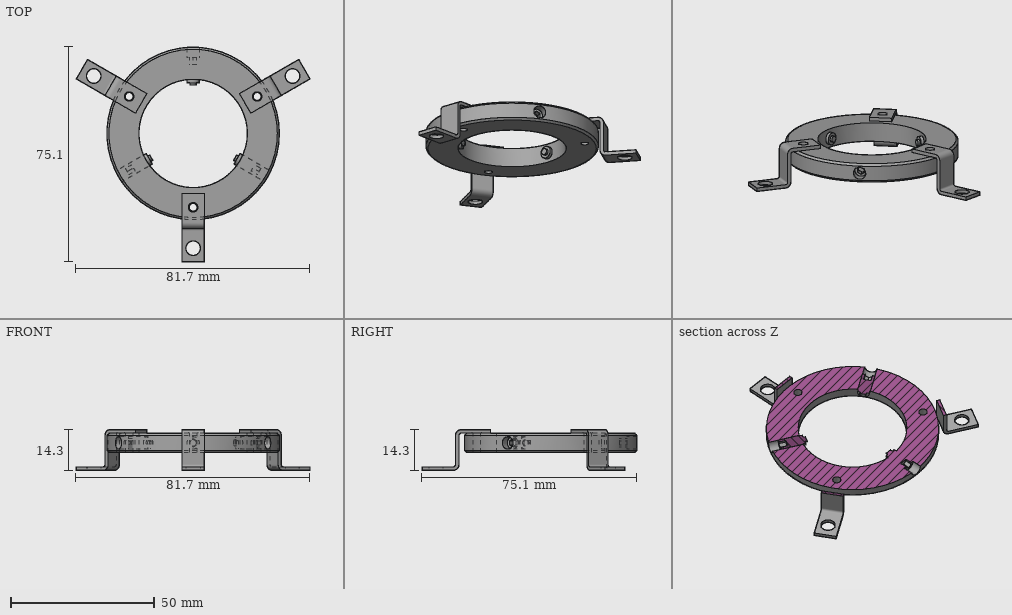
import cadquery as cq
import math

ring_diameter = 60.34
ring_bore = 37.8
ring_height = 6.75
ring_chamfer = 0.76

station_count = 3
station_pitch = 360 / station_count
first_bracket_angle = 270
first_screw_angle = 90

sheet = 1.27
bend_inner_radius = 0.76
bend_outer_radius = bend_inner_radius + sheet
bracket_width = 7.9
bracket_height = 14.27
flange_reach = 20.96
leg_reach = 32.03
foot_reach = 44.9
flange_hole_diameter = 3.3
flange_hole_reach = 25.82
foot_hole_diameter = 5.0
foot_hole_reach = 40.1
bracket_top = ring_height + sheet
bracket_bottom = bracket_top - bracket_height

flange_tap_diameter = 2.7

screw_diameter = 4.3
screw_outer_reach = 26.6
screw_shoulder_reach = 17.7
dog_diameter = 2.25
dog_length = 0.8
socket_sides = 6
socket_across_flats = 2.5
socket_across_corners = socket_across_flats / math.cos(math.pi / socket_sides)
socket_depth = 2.5


def at_angle(body, angle):
    """Turn a body built along +X to its angle about the Z axis."""
    return body.rotate((0, 0, 0), (0, 0, 1), angle)


def radial_plane(reach):
    """Plane at mid height of the ring whose normal points out along +X."""
    return cq.Workplane("YZ", origin=(reach, 0, ring_height / 2))


def vertical_drill(diameter, reach):
    """Cutter through the full height of the assembly at a distance from the axis."""
    drill = cq.Workplane("XY", origin=(reach, 0, bracket_bottom))
    return drill.circle(diameter / 2).extrude(bracket_height)


def make_bracket():
    """Flange on top of the ring, leg down outside it, foot pointing outwards."""
    leg_outer = leg_reach + sheet
    profile = (
        cq.Workplane("XZ")
        .moveTo(flange_reach, bracket_top)
        .lineTo(leg_outer - bend_outer_radius, bracket_top)
        .radiusArc((leg_outer, bracket_top - bend_outer_radius), bend_outer_radius)
        .lineTo(leg_outer, bracket_bottom + bend_outer_radius)
        .radiusArc((leg_outer + bend_inner_radius, bracket_bottom + sheet), -bend_inner_radius)
        .lineTo(foot_reach, bracket_bottom + sheet)
        .lineTo(foot_reach, bracket_bottom)
        .lineTo(leg_reach + bend_outer_radius, bracket_bottom)
        .radiusArc((leg_reach, bracket_bottom + bend_outer_radius), bend_outer_radius)
        .lineTo(leg_reach, bracket_top - bend_outer_radius)
        .radiusArc((leg_reach - bend_inner_radius, ring_height), -bend_inner_radius)
        .lineTo(flange_reach, ring_height)
        .close()
    )
    bracket = profile.extrude(bracket_width / 2, both=True)
    bracket = bracket.cut(vertical_drill(flange_hole_diameter, flange_hole_reach))
    return bracket.cut(vertical_drill(foot_hole_diameter, foot_hole_reach))


def make_screw():
    """Set screw with a hexagon socket outside and a dog point inside the bore."""
    body_length = screw_outer_reach - screw_shoulder_reach
    screw = radial_plane(screw_shoulder_reach).circle(screw_diameter / 2).extrude(body_length)
    dog = radial_plane(screw_shoulder_reach).circle(dog_diameter / 2).extrude(-dog_length)
    socket = (
        radial_plane(screw_outer_reach)
        .transformed(rotate=(0, 0, 90))
        .polygon(socket_sides, socket_across_corners)
        .extrude(-socket_depth)
    )
    return screw.union(dog).cut(socket)


def make_ring():
    """Chamfered ring with bracket taps, screw holes and the fixed screw on the +Y side."""
    ring = cq.Workplane("XY").circle(ring_diameter / 2).extrude(ring_height)
    ring = ring.faces("<Z or >Z").chamfer(ring_chamfer)
    ring = ring.cut(cq.Workplane("XY").circle(ring_bore / 2).extrude(ring_height))
    flange_tap = vertical_drill(flange_tap_diameter, flange_hole_reach)
    screw_hole = radial_plane(0).circle(screw_diameter / 2).extrude(ring_diameter)
    for station in range(station_count):
        ring = ring.cut(at_angle(flange_tap, first_bracket_angle + station * station_pitch))
        ring = ring.cut(at_angle(screw_hole, first_screw_angle + station * station_pitch))
    return ring.union(at_angle(make_screw(), first_screw_angle))


ring = make_ring()

brackets = []
for station in range(station_count):
    bracket_angle = first_bracket_angle + station * station_pitch
    brackets.append(at_angle(make_bracket(), bracket_angle).solids().val())

screws = []
for station in range(1, station_count):
    screw_angle = first_screw_angle + station * station_pitch
    screws.append(at_angle(make_screw(), screw_angle).solids().val())

result = cq.Compound.makeCompound([ring.solids().val(), *brackets, *screws])